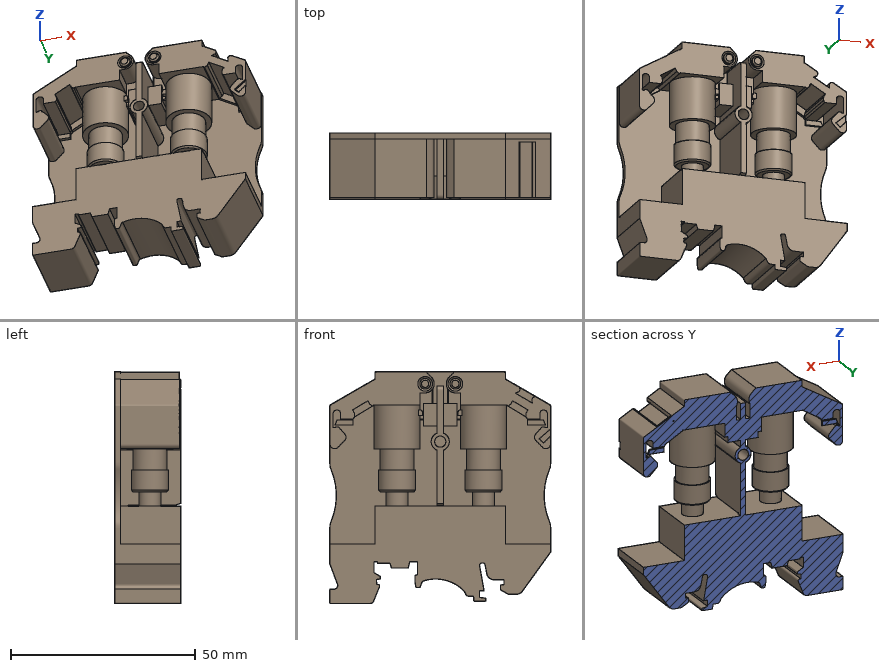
import cadquery as cq
import math

WIDTH = 60.0
DEPTH = 18.0
HEIGHT = 63.0
HALF_WIDTH = WIDTH / 2

PLATE_THICKNESS = 1.65
PLATE_FRONT = DEPTH - PLATE_THICKNESS
CREST_HALF_WIDTH = 17.7
SHOULDER_DROP = 2.0
SLOPE_ANGLE = 30.0
CREST_ROUND = 0.4
SIDE_ROUND = 0.5

SCALLOP_RADIUS = 18.0
SCALLOP_DEPTH = 1.75
SCALLOP_HEIGHT = 29.35
SCALLOP_BLEND = 5.0

STEP_HEIGHT = 26.45
LEDGE_HEIGHT = 16.2
ARCH_RADIUS = 10.85
ARCH_CENTER_X = -1.25
ARCH_TOP = 6.7
ARCH_START_X = -4.55
ARCH_END_X = 6.4

COLUMN_X = 11.7
COLUMN_Y = 8.45
COLLAR_DIAMETER = 10.0
COLUMN_SECTIONS = [(6.0, 30.35), (COLLAR_DIAMETER, 36.3), (9.2, 41.95), (12.5, 54.2)]
COLLAR_CHAMFER = 0.45

DIVIDER_THICKNESS = 1.65
DIVIDER_TOP = 59.0
DIVIDER_TOP_ROUND = 1.2
DIVIDER_GAP = 0.25
DIVIDER_GAP_END = 14.3
DIVIDER_TOE_RISE = 0.5
DIVIDER_TOE_LENGTH = 1.6
TUBE_HEIGHT = 44.0
TUBE_DIAMETER = 4.9
TUBE_BORE = 3.0

COVER_TOP_DROP = 0.2
COVER_SIDE_INSET = 0.095
COVER_FRONT = 0.45
COVER_UNDERSIDE = 53.9
COVER_INNER_X = 5.55
HINGE_X = 4.1
HINGE_Z = 59.65
HINGE_DIAMETER = 4.9
RING_DIAMETER = 4.0
PIN_DIAMETER = 2.9
PIN_TIP_DIAMETER = 1.95
RING_DEPTH = 0.5

REAR_TAB_THICKNESS = 0.9
TAB_FRONT = PLATE_FRONT - REAR_TAB_THICKNESS
LEG_NOTCH_DEPTH = 0.5

BLOCK_HALF_WIDTH = 4.6
BLOCK_BOTTOM = 48.2
BLOCK_TOP = 54.4
BLOCK_FRONT = 6.3
WEB_FRONT = 7.25
WEB_INNER_X = 1.95
WEB_BOTTOM = 49.9
WEB_CHAMFER = 0.25
LUG_INNER_X = 4.85
LUG_FRONT = 6.1
LUG_ROUND = 0.5
LUG_BOTTOM = 51.0
LUG_TOP = 52.55


def trace(sketch, points):
    """Continue a sketch through (x, z, radius) points.

    The first point is the current position; the last one stays sharp.
    """
    for before, corner, after in zip(points, points[1:], points[2:]):
        x, z, radius = corner
        if radius == 0:
            sketch = sketch.lineTo(x, z)
            continue
        to_before = cq.Vector(before[0] - x, before[1] - z).normalized()
        to_after = cq.Vector(after[0] - x, after[1] - z).normalized()
        half_angle = to_before.getAngle(to_after) / 2
        setback = radius / math.tan(half_angle)
        sagitta = radius / math.sin(half_angle) - radius
        here = cq.Vector(x, z)
        start = here + to_before * setback
        middle = here + (to_before + to_after).normalized() * sagitta
        end = here + to_after * setback
        sketch = sketch.lineTo(start.x, start.y)
        sketch = sketch.threePointArc((middle.x, middle.y), (end.x, end.y))
    return sketch.lineTo(points[-1][0], points[-1][1])


def plane_at(y):
    return cq.Workplane("XZ", origin=(0, y, 0))


def prism(points, y_front, y_back):
    """Extrude a closed outline, given as (x, z, radius) points, between two depths."""
    sketch = plane_at(y_front).moveTo(points[0][0], points[0][1])
    return trace(sketch, points + points[:1]).close().extrude(y_front - y_back)


def box(x_min, x_max, y_min, y_max, z_min, z_max):
    size = (x_max - x_min, y_max - y_min, z_max - z_min)
    return cq.Workplane(origin=(x_min, y_min, z_min)).box(*size, centered=False)


def cylinder(x, z, diameter, y_front, y_back):
    return plane_at(y_front).center(x, z).circle(diameter / 2).extrude(y_front - y_back)


def mirrored(body):
    return body.mirror("YZ")


def roof_outline(top, inset):
    """Right half of the roof, from the crest down; the inset lowers the slope and the outer side."""
    side_x = HALF_WIDTH - inset
    shoulder = HEIGHT - SHOULDER_DROP - inset
    slope_drop = (side_x - CREST_HALF_WIDTH) * math.tan(math.radians(SLOPE_ANGLE))
    return [
        (CREST_HALF_WIDTH, top, CREST_ROUND),
        (CREST_HALF_WIDTH, shoulder, 0),
        (side_x, shoulder - slope_drop, SIDE_ROUND),
    ]


def make_plate():
    right = roof_outline(HEIGHT, 0) + [(HALF_WIDTH, LEDGE_HEIGHT, 0)]
    left = [(-x, z, radius) for x, z, radius in reversed(right)]
    plate = prism([(0, HEIGHT, 0)] + right + left, PLATE_FRONT, DEPTH)
    scallop_x = HALF_WIDTH - SCALLOP_DEPTH + SCALLOP_RADIUS
    for side in (-1, 1):
        plate = plate.cut(
            cylinder(side * scallop_x, SCALLOP_HEIGHT, 2 * SCALLOP_RADIUS, PLATE_FRONT, DEPTH)
        )
    half_chord = math.sqrt(SCALLOP_RADIUS**2 - (SCALLOP_RADIUS - SCALLOP_DEPTH) ** 2)
    for side in (-1, 1):
        for end in (-1, 1):
            corner = (side * HALF_WIDTH, (PLATE_FRONT + DEPTH) / 2, SCALLOP_HEIGHT + end * half_chord)
            plate = plate.edges(cq.NearestToPointSelector(corner)).fillet(SCALLOP_BLEND)
    return plate


def arch_point(x):
    height = math.sqrt(ARCH_RADIUS**2 - (x - ARCH_CENTER_X) ** 2)
    return (x, ARCH_TOP - ARCH_RADIUS + height, 0)


def make_base():
    arch_start = arch_point(ARCH_START_X)
    arch_end = arch_point(ARCH_END_X)
    left_foot = [
        (0, STEP_HEIGHT, 0),
        (-CREST_HALF_WIDTH, STEP_HEIGHT, 0),
        (-CREST_HALF_WIDTH, LEDGE_HEIGHT, 0),
        (-HALF_WIDTH, LEDGE_HEIGHT, 0),
        (-HALF_WIDTH, 10.85, 0),
        (-27.4, 4.0, 1.0),
        (-HALF_WIDTH, 4.0, 0.25),
        (-HALF_WIDTH, 0, 0.4),
        (-18.35, 0, 1.25),
        (-16.2, 5.2, 0.5),
        (-17.2, 5.3, 0),
        (-17.25, 6.55, 0),
        (-16.25, 6.7, 0.2),
        (-16.25, 7.45, 0.2),
        (-17.95, 8.45, 0),
        (-17.95, 11.35, 0),
        (-17.1, 11.35, 0),
        (-17.1, 10.95, 0),
        (-13.7, 10.95, 0),
        (-13.2, 9.65, 0),
        (-8.7, 9.65, 0),
        (-8.25, 11.35, 0),
        (-6.2, 11.35, 0),
        (-6.2, 7.95, 0.25),
        (-6.85, 7.7, 0.25),
        (-6.85, 5.8, 0),
        (-6.6, 4.35, 0.4),
        (-5.5, 4.35, 0.5),
        (-4.9, 5.9, 0.4),
        arch_start,
    ]
    right_foot = [
        arch_end,
        (7.2, 2.0, 0.95),
        (9.0, 2.0, 0),
        (9.1, 0.6, 0.3),
        (12.5, 0.6, 0.4),
        (12.35, 1.5, 0.2),
        (10.7, 1.75, 0),
        (10.7, 3.45, 0),
        (11.9, 3.45, 0),
        (11.7, 4.65, 0),
        (10.6, 11.0, 0.55),
        (12.05, 11.0, 0.5),
        (12.9, 6.5, 2.0),
        (17.25, 6.5, 0),
        (17.25, 5.2, 0),
        (16.3, 5.1, 0.3),
        (16.3, 3.8, 0.3),
        (18.5, 2.5, 0.95),
        (21.7, 2.5, 2.2),
        (HALF_WIDTH, 14.05, 0),
        (HALF_WIDTH, LEDGE_HEIGHT, 0),
        (CREST_HALF_WIDTH, LEDGE_HEIGHT, 0),
        (CREST_HALF_WIDTH, STEP_HEIGHT, 0),
        (0, STEP_HEIGHT, 0),
    ]
    sketch = trace(plane_at(0).moveTo(0, STEP_HEIGHT), left_foot)
    sketch = sketch.threePointArc((ARCH_CENTER_X, ARCH_TOP), arch_end[:2])
    return trace(sketch, right_foot).close().extrude(-DEPTH)


def make_column(x):
    column = None
    bottom = STEP_HEIGHT
    for diameter, top in COLUMN_SECTIONS:
        section = cq.Workplane(origin=(x, COLUMN_Y, bottom)).circle(diameter / 2).extrude(top - bottom)
        if diameter == COLLAR_DIAMETER:
            section = section.faces("<Z").chamfer(COLLAR_CHAMFER)
        column = column.union(section) if column else section
        bottom = top
    return column


def make_divider():
    half = DIVIDER_THICKNESS / 2
    wall = box(-half, half, 0, PLATE_FRONT, STEP_HEIGHT, DIVIDER_TOP)
    wall = wall.edges("|X and <Y and >Z").fillet(DIVIDER_TOP_ROUND)
    gap_top = STEP_HEIGHT + DIVIDER_GAP
    gap_outline = [
        (0, STEP_HEIGHT),
        (0, gap_top + DIVIDER_TOE_RISE),
        (DIVIDER_TOE_LENGTH, gap_top),
        (DIVIDER_GAP_END, gap_top),
        (DIVIDER_GAP_END, STEP_HEIGHT),
    ]
    gap = cq.Workplane("YZ").polyline(gap_outline).close().extrude(half, both=True)
    wall = wall.cut(gap)
    tube = cylinder(0, TUBE_HEIGHT, TUBE_DIAMETER, 0, PLATE_FRONT)
    block = box(
        -BLOCK_HALF_WIDTH, BLOCK_HALF_WIDTH, BLOCK_FRONT, PLATE_FRONT, BLOCK_BOTTOM, BLOCK_TOP
    )
    return wall.union(block).union(tube)


UNDERSIDE_START = (18.4, 53.6)
UNDERSIDE_END = (23.1, 50.8)


def make_cover():
    tangent = HINGE_DIAMETER / 2 * math.sqrt(0.5)
    top = HEIGHT - COVER_TOP_DROP
    outline = [
        (HINGE_X, HINGE_Z, 0),
        (HINGE_X - tangent, HINGE_Z + tangent, 0),
        (HINGE_X - tangent + (top - HINGE_Z - tangent), top, 0),
    ]
    outline += roof_outline(top, COVER_SIDE_INSET)
    outline += [
        (HALF_WIDTH - COVER_SIDE_INSET, 42.1, 1.15),
        (28.1, 42.1, 1.0),
        (25.1, 45.2, 1.3),
        (27.65, 48.0, 0),
        (28.4, 47.95, 0),
        (28.55, 47.75, 0),
        (29.05, 47.75, 0),
        (29.05, 52.55, 0.95),
        (27.0, 52.55, 0.95),
        (27.0, 50.15, 0),
        (23.6, 50.15, 0),
    ]
    outline += [
        UNDERSIDE_END + (0,),
        UNDERSIDE_START + (0,),
        (18.0, COVER_UNDERSIDE, 0),
        (COVER_INNER_X, COVER_UNDERSIDE, 0),
        (COVER_INNER_X, HINGE_Z - HINGE_DIAMETER / 2, 0),
        (HINGE_X, HINGE_Z - HINGE_DIAMETER / 2, 0),
    ]
    cover = prism(outline, COVER_FRONT, PLATE_FRONT)
    cover = cover.union(cylinder(HINGE_X, HINGE_Z, HINGE_DIAMETER, COVER_FRONT, PLATE_FRONT))

    relief = [
        UNDERSIDE_START + (0,),
        (19.15, 54.2, 0),
        (19.6, 55.05, 0),
        (23.75, 52.6, 0),
        (23.25, 51.6, 0),
        (23.25, 50.7, 0),
        (23.6, 50.15, 0),
        (21.4, 50.15, 0),
    ]
    cover = cover.cut(prism(relief, COVER_FRONT, TAB_FRONT))

    stop = [(23.7, 48.5, 0), (23.7, 49.9, 0), (28.0, 49.9, 0), (28.55, 48.5, 0)]
    cover = cover.union(prism(stop, TAB_FRONT, PLATE_FRONT))

    web = box(WEB_INNER_X, COVER_INNER_X, WEB_FRONT, PLATE_FRONT, WEB_BOTTOM, HINGE_Z)
    web = web.edges("<Y and (<X or <Z)").chamfer(WEB_CHAMFER)

    lug = box(LUG_INNER_X, COLUMN_X, LUG_FRONT, COLUMN_Y, LUG_BOTTOM, LUG_TOP)
    lug = lug.edges("|Y and <X and >Z").fillet(LUG_ROUND)
    return cover.union(web).union(lug)


def hinge_pin_recess():
    """Ring-shaped countersink around the hinge pin."""
    profile = [
        (PIN_DIAMETER / 2, 0),
        (RING_DIAMETER / 2, 0),
        (PIN_DIAMETER / 2, RING_DEPTH),
    ]
    ring = cq.Workplane("XY").polyline(profile).close().revolve(360, (0, 0), (0, 1))
    return ring.translate((HINGE_X, COVER_FRONT, HINGE_Z))


def hinge_pin():
    """Pin standing proud of the cover, tapering to its tip at the front face."""
    profile = [
        (0, 0),
        (PIN_TIP_DIAMETER / 2, 0),
        (PIN_DIAMETER / 2, COVER_FRONT),
        (0, COVER_FRONT),
    ]
    pin = cq.Workplane("XY").polyline(profile).close().revolve(360, (0, 0), (0, 1))
    return pin.translate((HINGE_X, 0, HINGE_Z))


SLOT_X = 23.7
SLOT_DEPTH = 2.0
SLOT_NECK_DEPTH = 1.1
SLOT_NECK_HALF = 2.0
SLOT_FLOOR_HALF = 2.65
SLOT_MOUTH_ROUND = 0.95
SLOT_MOUTH_HALF = 3.0


def dovetail_slot():
    """Dovetail slot along Y in the sloping roof, flaring out through a rounded mouth."""
    half = [
        (SLOT_MOUTH_HALF, SLOT_DEPTH, 0),
        (SLOT_MOUTH_HALF, 0, 0),
        (SLOT_NECK_HALF, 0, SLOT_MOUTH_ROUND),
        (SLOT_NECK_HALF, -SLOT_NECK_DEPTH, 0),
        (SLOT_FLOOR_HALF, -SLOT_DEPTH, 0),
    ]
    outline = half + [(-x, z, radius) for x, z, radius in reversed(half)]
    slot = prism(outline, COVER_FRONT, TAB_FRONT)
    slot = slot.rotate((0, 0, 0), (0, 1, 0), SLOPE_ANGLE)
    drop = (SLOT_X - CREST_HALF_WIDTH) * math.tan(math.radians(SLOPE_ANGLE))
    return slot.translate((SLOT_X, 0, HEIGHT - SHOULDER_DROP - drop))


def leg_notch():
    outline = [(31.2, 48.5, 0), (26.85, 44.7, 0), (28.05, 43.6, 0), (31.2, 46.75, 0)]
    return prism(outline, COVER_FRONT, COVER_FRONT + LEG_NOTCH_DEPTH)


cover = make_cover().cut(hinge_pin_recess()).union(hinge_pin())
right_cover = cover.cut(dovetail_slot()).cut(leg_notch())

result = make_base().union(make_plate()).union(make_divider())
for column_x in (-COLUMN_X, COLUMN_X):
    result = result.union(make_column(column_x))
result = result.union(mirrored(cover)).union(right_cover)
result = result.cut(cylinder(0, TUBE_HEIGHT, TUBE_BORE, 0, PLATE_FRONT))